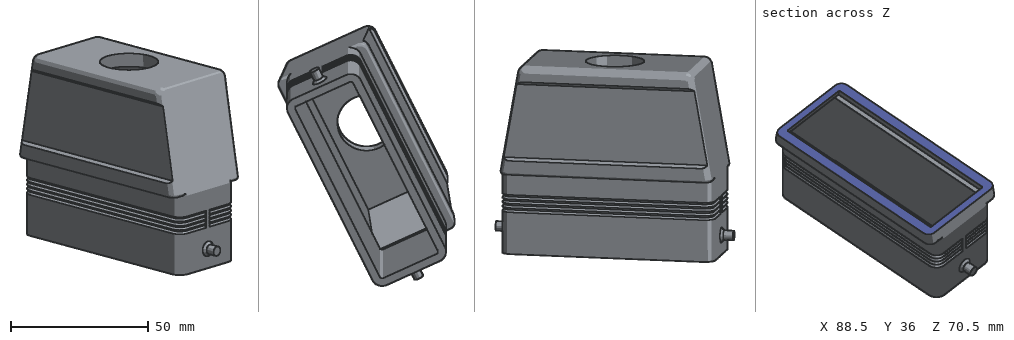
import cadquery as cq
import math

body_length = 79.4
body_width = 29.4
body_height = 30.0
body_corner_radius = 4.0

total_height = 70.5
hood_width = 36.0
hood_end_angle = math.radians(10.0)
hood_edge_radius = 3.0
hood_lower_edge_radius = 1.0

recess_depth = 1.2
recess_bottom = 36.5
recess_top = 63.8
recess_slope_height = 1.1

groove_count = 4
groove_band_bottom = 15.6
groove_pitch = 1.625
groove_depth = 0.7
end_bridge_width = 2.0

pin_span = 88.5
pin_diameter = 3.6
pin_height = 7.4
pin_root_flare = 1.0

wall = 3.0
roof_thickness = 5.0
entry_diameter = 21.3


def rounded_block(length, width, corner_radius, bottom, top):
    """Upright block with rounded vertical corners."""
    return (
        cq.Workplane("XY")
        .workplane(offset=bottom)
        .rect(length, width)
        .extrude(top - bottom)
        .edges("|Z")
        .fillet(corner_radius)
    )


def tapered_block(bottom_length, width, bottom, top):
    """Block whose ends lean inward at the hood angle."""
    half_bottom = bottom_length / 2
    half_top = half_bottom - (top - bottom) * math.tan(hood_end_angle)
    return (
        cq.Workplane("XZ")
        .polyline([(-half_bottom, bottom), (half_bottom, bottom), (half_top, top), (-half_top, top)])
        .close()
        .extrude(width / 2, both=True)
    )


def make_sleeve():
    """Lower body with its grip grooves."""
    sleeve = rounded_block(body_length, body_width, body_corner_radius, 0, body_height)
    for index in range(groove_count):
        sleeve = sleeve.cut(groove_ring(groove_band_bottom + index * groove_pitch))
    return sleeve


def make_neck():
    """Top of the body, which fills the rounded lower hood edge where the ends meet flush."""
    neck_top = body_height + 2 * hood_lower_edge_radius
    neck = rounded_block(body_length, body_width, body_corner_radius, body_height, neck_top)
    return neck.intersect(tapered_block(body_length, hood_width, body_height, total_height))


def make_hood():
    """Leaning-ended hood with rounded edges."""
    hood = tapered_block(body_length, hood_width, body_height, total_height)
    hood = hood.edges("not(#Z or |Y)").fillet(hood_edge_radius)
    hood = hood.faces(">Z").edges().fillet(hood_edge_radius)
    hood = hood.faces("<Z").edges().fillet(hood_lower_edge_radius)
    for side in (-1, 1):
        hood = hood.cut(side_recess(side))
    return hood


def side_recess(side):
    """Cutter for the sloped-edge panel on one long side (side is +1 or -1)."""
    surface = side * hood_width / 2
    floor = side * (hood_width / 2 - recess_depth)
    return (
        cq.Workplane("YZ")
        .polyline([
            (floor, recess_bottom),
            (surface, recess_bottom - recess_slope_height),
            (surface, recess_top + recess_slope_height),
            (floor, recess_top),
        ])
        .close()
        .extrude(body_length / 2, both=True)
    )


def groove_ring(bottom):
    """Cutter for one V groove around the body, left uncut at the middle of each end."""
    half_pitch = groove_pitch / 2
    slope = math.degrees(math.atan(groove_depth / half_pitch))
    outline = cq.Sketch().rect(body_length, body_width).vertices().fillet(body_corner_radius)
    lower_core = cq.Workplane("XY").placeSketch(outline).extrude(half_pitch, taper=slope)
    upper_core = lower_core.mirror("XY").translate((0, 0, groove_pitch))
    ring = rounded_block(body_length, body_width, body_corner_radius, 0, groove_pitch)
    bridge = cq.Workplane("XY").box(body_length, end_bridge_width, 2 * groove_pitch)
    return ring.cut(lower_core).cut(upper_core).cut(bridge).translate((0, 0, bottom))


def make_pin(side):
    """Locking pin on one end, with a conical root where it leaves the body."""
    root = body_length / 2
    radius = pin_diameter / 2
    buried = root - wall / 2
    flare_radius = radius + pin_root_flare
    pin = (
        cq.Workplane("XY")
        .moveTo(buried, 0)
        .lineTo(buried, flare_radius)
        .lineTo(root, flare_radius)
        .lineTo(root + pin_root_flare, radius)
        .lineTo(pin_span / 2, radius)
        .lineTo(pin_span / 2, 0)
        .close()
        .revolve(360, (0, 0, 0), (1, 0, 0))
        .translate((0, 0, pin_height))
    )
    return pin if side > 0 else pin.mirror("YZ")


def make_cavity():
    """Inside space, open at the bottom and following the outer walls."""
    shoulder = body_height + wall
    ceiling = total_height - roof_thickness
    opening = rounded_block(
        body_length - 2 * wall, body_width - 2 * wall, body_corner_radius - wall, 0, shoulder
    )
    lean = (shoulder - body_height) * math.tan(hood_end_angle)
    end_wall = wall / math.cos(hood_end_angle)
    upper_length = body_length - 2 * (lean + end_wall)
    upper_width = hood_width - 2 * recess_depth - 2 * wall
    return opening.union(tapered_block(upper_length, upper_width, shoulder, ceiling))


def make_cable_entry():
    """Cutter for the round hole through the roof."""
    return (
        cq.Workplane("XY")
        .workplane(offset=total_height)
        .circle(entry_diameter / 2)
        .extrude(-2 * roof_thickness)
    )


housing = make_sleeve().union(make_neck()).union(make_hood())
for end in (-1, 1):
    housing = housing.union(make_pin(end))

result = housing.cut(make_cavity()).cut(make_cable_entry())